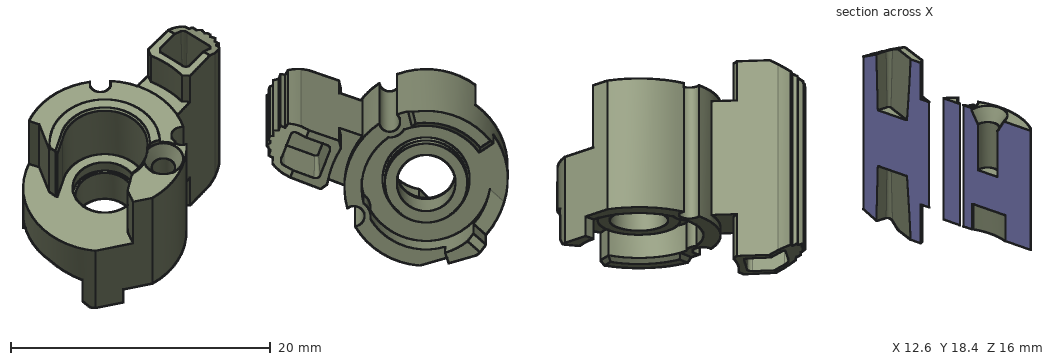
import cadquery as cq
import math

outer_radius = 6.3
housing_top = 10.76
floor_top = 5.47
floor_underside = 2.28
rough_radius = 7.35
far = 18.37

bore_radius = 3.29
bore_chamfer = 0.18
rim_outer_radius = 4.26
rim_top = 11.0
counterbore_radius = 2.48
counterbore_depth = 1.03
hole_radius = 2.26
spigot_radius = 3.18
spigot_bottom = 1.23
spigot_root = 0.18

left_jamb = [(-6.3, 0.68), (-5.4, 0.57), (-4.05, -1.55), (-3.42, -1.87)]
lip_inner_x = -3.27
right_jamb = [(2.74, -1.76), (2.87, -3.78), (3.6, -4.75)]

skirt_inner_radius = 4.98
window_start = 192.0
window_end = 269.6
ramp_start_x = -2.8
ramp_end_x = -0.04
ramp_drop = 0.68
left_foot_bottom = -0.37
left_foot_start = 124.0
right_foot_bottom = -1.6
right_foot_end = 299.5
right_foot_chamfer = 0.62

flat_angle = -60.0
flat_distance = 5.88

notch_angles = (108.8, 24.2)
notch_center_radius = 6.0
notch_radius = 0.8
notch_wall = 0.46

land_top = 10.58
pin_x = 4.68
pin_radius = 0.9
sink_radius = 1.52
sink_depth = 1.08
neck_x = 5.2
neck_y = 1.75

lever_angle = 67.5
lever_bottom = -2.81
lever_top = 13.19
lever_offset = 0.13
lever_root = 5.7
lever_root_half_width = 2.11
lever_shoulder = 10.38
web_bottom = 0.62
web_top = 9.97
head_inner_radius = 7.7
head_inner_half_width = 1.55
head_corner_radius = 8.2
end_slope_length = 2.45
end_slope_drop = 1.35
end_corner = (11.02, 2.02)
end_rounding = (11.5, 1.91)
half_teeth = [
    (11.98, 1.73),
    (12.07, 1.3),
    (12.45, 1.29),
    (12.44, 0.88),
    (12.84, 0.66),
    (12.65, 0.28),
    (12.88, 0.13),
]
pocket_start = 8.28
pocket_end = 11.52
pocket_half_width = 1.41
pocket_corner = 0.37
pocket_depth = 5.51
pocket_draft = 1.5


def polar(radius, angle):
    return radius * math.cos(math.radians(angle)), radius * math.sin(math.radians(angle))


def cylinder(radius, bottom, top, center=(0, 0)):
    return cq.Workplane("XY", origin=(*center, bottom)).circle(radius).extrude(top - bottom)


def prism(points, bottom, top):
    return cq.Workplane("XY", origin=(0, 0, bottom)).polyline(points).close().extrude(top - bottom)


def sector(start_angle, end_angle, bottom, top):
    """Wedge about the bore axis between two directions."""
    reach = [polar(far, angle) for angle in (start_angle, (start_angle + end_angle) / 2, end_angle)]
    return prism([(0, 0)] + reach, bottom, top)


def revolved(profile, center=(0, 0)):
    """Solid of revolution about a vertical axis, from (radius, z) points."""
    solid = cq.Workplane("XZ").polyline(profile).close().revolve(360, (0, 0, 0), (0, 1, 0))
    return solid.translate((*center, 0))


def round_with_flat(bottom, top):
    """Outer form of the housing: a round with the flat on its side."""
    block = cq.Workplane("XY", origin=(0, 0, bottom)).rect(2 * far, 2 * far).extrude(top - bottom)
    block = block.translate((flat_distance - far, 0, 0)).rotate((0, 0, 0), (0, 0, 1), flat_angle)
    return cylinder(outer_radius, bottom, top).intersect(block)


def mouth_profile(radius, top):
    """Half section of the bore, widening to its chamfered mouth at the given height."""
    return [
        (0, floor_top),
        (radius, floor_top),
        (radius, top - bore_chamfer),
        (radius + bore_chamfer, top),
        (0, top),
    ]


def bore_cutter(top):
    return revolved(mouth_profile(bore_radius, top))


def lip_cutter():
    """Straight continuation of the bore wall and its chamfer at the left jamb."""
    outline = [(-x, z) for x, z in mouth_profile(-lip_inner_x, rim_top)]
    return cq.Workplane("XZ").polyline(outline).close().extrude(rough_radius)


def front_opening():
    lip = [(lip_inner_x, left_jamb[-1][1]), (lip_inner_x, 0), (right_jamb[0][0], 0)]
    outside = [(far, -far), (-far, -far), (-far, left_jamb[0][1])]
    return prism(left_jamb + lip + right_jamb + outside, floor_top, rim_top)


def upper_wall():
    low = cylinder(rough_radius, floor_top, land_top).cut(bore_cutter(land_top))
    high = cylinder(rough_radius, floor_top, housing_top)
    high = high.union(cylinder(rim_outer_radius, housing_top, rim_top))
    high = high.cut(bore_cutter(rim_top)).cut(lip_cutter())
    land = [(0, 0), (pin_x, 0), (neck_x, neck_y), polar(far, notch_angles[1]), (far, -far), (0, -far)]
    land_zone = prism(land, floor_top, rim_top)
    wall = high.cut(land_zone).union(low.intersect(land_zone))
    return wall.cut(front_opening())


def skirt_ring(bottom, top):
    return cylinder(rough_radius, bottom, top).cut(cylinder(skirt_inner_radius, bottom, top))


def skirt():
    """Ring under the floor with its window, the ramp beside it and the notch bosses."""
    ring = skirt_ring(0, floor_underside)
    for angle in notch_angles:
        boss = cylinder(notch_radius + notch_wall, 0, floor_underside, polar(notch_center_radius, angle))
        ring = ring.union(boss)
    ring = ring.cut(sector(window_start, window_end, 0, floor_underside))
    ramp_profile = [
        (ramp_start_x, floor_underside),
        (ramp_end_x, floor_underside),
        (ramp_end_x, floor_underside - ramp_drop),
    ]
    ramp = cq.Workplane("XZ").polyline(ramp_profile).close().extrude(rough_radius)
    return ring.union(ramp.intersect(skirt_ring(0, floor_underside)))


def end_chamfer(size, bottom, angle):
    """45 degree cutter for a radial end face, with the foot on the side of larger angles."""
    outline = [(0, bottom), (size, bottom), (0, bottom + size)]
    cutter = cq.Workplane("YZ").polyline(outline).close().extrude(far)
    return cutter.rotate((0, 0, 0), (0, 0, 1), angle)


def left_foot():
    """Foot chamfered at both ends and along its inner edge."""
    size = -left_foot_bottom
    foot = skirt_ring(left_foot_bottom, 0)
    foot = foot.intersect(sector(left_foot_start, window_start, left_foot_bottom, 0))
    foot = foot.cut(end_chamfer(size, left_foot_bottom, left_foot_start))
    front_chamfer = end_chamfer(size, left_foot_bottom, -window_start).mirror("XZ")
    inner_edge = [
        (0, left_foot_bottom),
        (skirt_inner_radius + size, left_foot_bottom),
        (skirt_inner_radius, 0),
        (0, 0),
    ]
    return foot.cut(front_chamfer).cut(revolved(inner_edge))


def right_foot():
    foot = skirt_ring(right_foot_bottom, 0)
    foot = foot.intersect(sector(window_end, right_foot_end, right_foot_bottom, 0))
    return foot.cut(end_chamfer(right_foot_chamfer, right_foot_bottom, window_end))


def floor_plate():
    spigot = [
        (0, spigot_bottom),
        (spigot_radius, spigot_bottom),
        (spigot_radius, floor_underside - spigot_root),
        (spigot_radius + spigot_root, floor_underside),
        (0, floor_underside),
    ]
    return cylinder(rough_radius, floor_underside, floor_top).union(revolved(spigot))


def stepped_hole():
    shoulder = floor_top - counterbore_depth
    return cylinder(hole_radius, spigot_bottom, shoulder).union(
        cylinder(counterbore_radius, shoulder, floor_top)
    )


def notch_cutter(angle):
    return cylinder(notch_radius, 0, housing_top, polar(notch_center_radius, angle))


def countersunk_hole():
    """Blind hole down to the level of the floor, open through the rim above the land."""
    profile = [
        (0, floor_top),
        (pin_radius, floor_top),
        (pin_radius, land_top - sink_depth),
        (sink_radius, land_top),
        (sink_radius, rim_top),
        (0, rim_top),
    ]
    return revolved(profile, (pin_x, 0))


def mirrored(points):
    return [(u, -v) for u, v in reversed(points)]


def lever_outline(bottom, top):
    """Full plan of the lever, symmetric about its own axis, with the toothed end."""
    root = (lever_root, lever_root_half_width)
    teeth = half_teeth + mirrored(half_teeth)
    far_root, far_rounding, far_corner = mirrored([end_corner, end_rounding, root])
    outline = cq.Workplane("XY", origin=(0, -lever_offset, bottom)).polyline([root, end_corner])
    outline = outline.threePointArc(end_rounding, teeth[0]).polyline(teeth[1:], includeCurrent=True)
    outline = outline.threePointArc(far_rounding, far_corner).lineTo(*far_root).close()
    return outline.extrude(top - bottom)


def at_radius(radius, v):
    """Point of the lever plan at the given distances from the bore axis and from the lever axis."""
    y = v - lever_offset
    return math.sqrt(radius**2 - y**2), y


def head_zone():
    """Everything outside the rounded inner face of the head and its two cut corners."""
    zone = cq.Workplane("XY", origin=(0, 0, lever_bottom)).moveTo(far, far)
    zone = zone.lineTo(head_corner_radius, far)
    zone = zone.lineTo(*at_radius(head_corner_radius, lever_root_half_width))
    zone = zone.lineTo(*at_radius(head_inner_radius, head_inner_half_width))
    zone = zone.threePointArc((head_inner_radius, 0), at_radius(head_inner_radius, -head_inner_half_width))
    zone = zone.lineTo(*at_radius(head_corner_radius, -lever_root_half_width))
    zone = zone.lineTo(head_corner_radius, -far).lineTo(far, -far)
    return zone.close().extrude(lever_top - lever_bottom)


def pocket():
    length = pocket_end - pocket_start
    plane = cq.Workplane("XY", origin=((pocket_start + pocket_end) / 2, -lever_offset, lever_top))
    outline = plane.sketch().rect(length, 2 * pocket_half_width).vertices().fillet(pocket_corner).finalize()
    return outline.extrude(-pocket_depth, taper=pocket_draft)


def end_slope():
    """Wedge that slopes the top of the toothed end; it runs on to twice the tooth reach."""
    run = 2 * end_slope_length
    drop = 2 * end_slope_drop
    outline = [
        (lever_shoulder, lever_top),
        (lever_shoulder + run, lever_top),
        (lever_shoulder + run, lever_top - drop),
    ]
    return cq.Workplane("XZ").polyline(outline).close().extrude(far, both=True)


def lever():
    """Head, the same above and below mid height, joined to the housing by a lower web."""
    head = lever_outline(lever_bottom, lever_top).intersect(head_zone())
    middle = (lever_bottom + lever_top) / 2
    for cutter in (end_slope(), pocket()):
        head = head.cut(cutter).cut(cutter.mirror("XY", (0, 0, middle)))
    web_zone = cylinder(head_corner_radius, web_bottom, web_top)
    web = lever_outline(web_bottom, web_top).intersect(web_zone)
    return head.union(web).rotate((0, 0, 0), (0, 0, 1), lever_angle)


housing = upper_wall().union(floor_plate()).union(skirt()).union(left_foot()).union(right_foot())
housing = housing.intersect(round_with_flat(right_foot_bottom, rim_top))
housing = housing.cut(stepped_hole()).cut(countersunk_hole())
for angle in notch_angles:
    housing = housing.cut(notch_cutter(angle))
result = housing.union(lever()).clean()